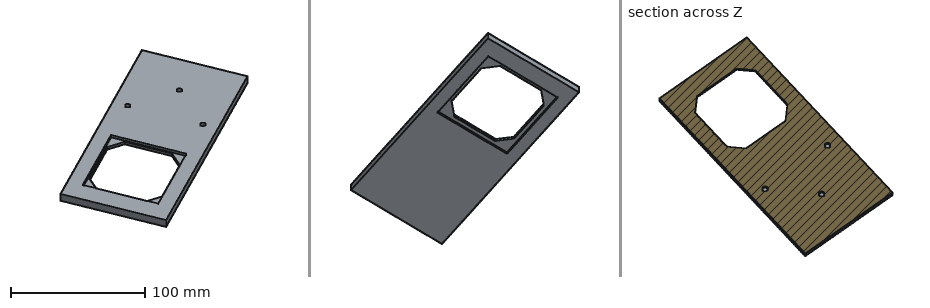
import cadquery as cq

plate_width = 84.0
plate_length = 173.0
plate_thickness = 7.0
center_x = plate_width / 2

recess_side = 60.0
recess_depth = 2.5
recess_center_y = 45.3
opening_side = 57.8
opening_corner_cut = 10.0

underside_recess_margin = 2.0
underside_recess_side = recess_side + 2 * underside_recess_margin
ledge_thickness = 2.6
underside_recess_depth = plate_thickness - recess_depth - ledge_thickness

hole_diameter = 4.0
hole_depth = 5.0
hole_spacing = 30.0
hole_row_y = 110.5


def make_plate():
    return cq.Workplane("XY").box(plate_width, plate_length, plate_thickness, centered=False)


def square_prism(side, bottom_z, top_z):
    """Upright square prism centered on the recess."""
    return (
        cq.Workplane("XY", origin=(center_x, recess_center_y, bottom_z))
        .rect(side, side)
        .extrude(top_z - bottom_z)
    )


def make_recess():
    return square_prism(recess_side, plate_thickness - recess_depth, plate_thickness)


def make_underside_recess():
    return square_prism(underside_recess_side, 0, underside_recess_depth)


def make_opening():
    return square_prism(opening_side, 0, plate_thickness).edges("|Z").chamfer(opening_corner_cut)


def make_holes():
    positions = [
        (center_x - hole_spacing, hole_row_y),
        (center_x + hole_spacing, hole_row_y),
        (center_x, hole_row_y + hole_spacing),
    ]
    return (
        cq.Workplane("XY", origin=(0, 0, plate_thickness))
        .pushPoints(positions)
        .circle(hole_diameter / 2)
        .extrude(-hole_depth)
    )


result = (
    make_plate()
    .cut(make_recess())
    .cut(make_underside_recess())
    .cut(make_opening())
    .cut(make_holes())
)